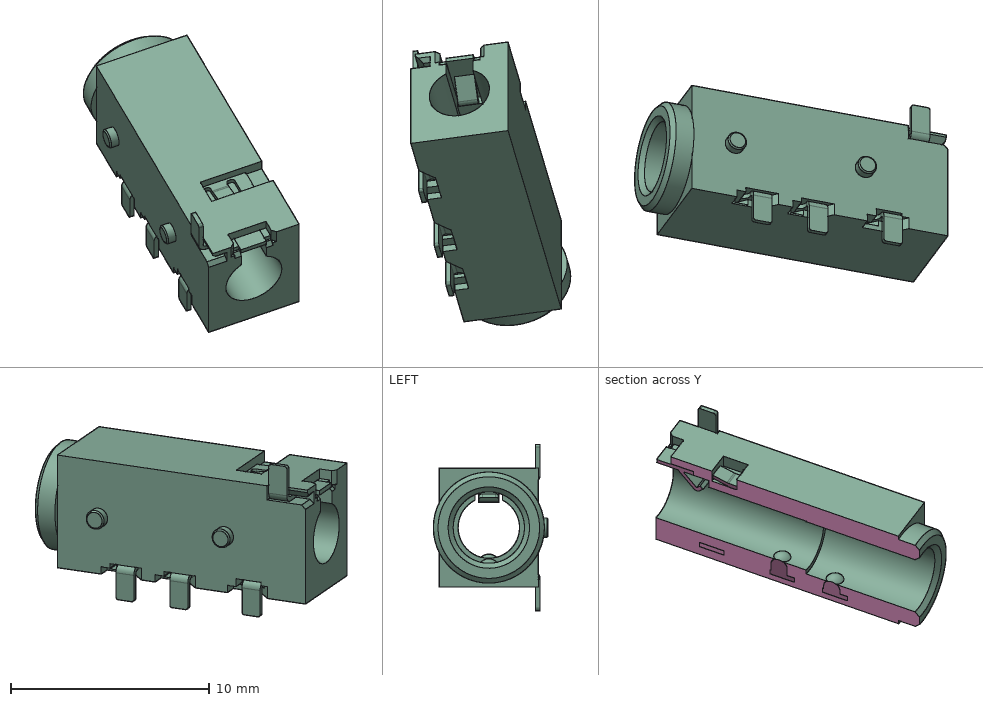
import cadquery as cq
import math

LENGTH = 15.0
COLLAR_LENGTH = 1.2
COLLAR_RADIUS = 2.8
COLLAR_CHAMFER = 0.24
CASE_WIDTH = 5.01
CASE_HEIGHT = 6.0
FRONT_Y = -CASE_WIDTH / 2
BACK_Y = CASE_WIDTH / 2
TOP_Z = CASE_HEIGHT / 2
BOTTOM_Z = -CASE_HEIGHT / 2

BORE_RADIUS = 1.8
MOUTH_CHAMFER = 0.25
REAR_BORE_RADIUS = 1.55
BORE_STEP_X = 6.45

PEG_POSITIONS = (3.5, 10.5)
PEG_RADIUS = 0.5
PEG_LENGTH = 0.5
PEG_CHAMFER = 0.08

SHEET = 0.24
LUG_WIDTH = 1.0
LUG_REACH = 4.2
LUG_OUTER_Y = -2.6
BEND_RADIUS = 0.4
LUG_CORNER = 0.14

LOWER_STRIP_Z = -2.37
LOWER_STRIP_END_Y = 0.6
SHOULDER_Y = -1.82
SHOULDER_WIDTH = 0.38
SHOULDER_FILLET = 0.35
DOME_RADIUS = 0.57
LOWER_TERMINALS = ((5.0, 0.0, -1.58), (8.0, 0.0, -1.34), (12.02, 0.18, None))

POCKET_DEPTH = 0.72
POCKET_LEFT = 0.85
POCKET_RIGHT = 1.38
HOLLOW_LEFT = 0.69
HOLLOW_DROP = 0.54

UPPER_LUG_X = 13.5
UPPER_FLOOR_Z = 2.25
UPPER_PLATE_TOP = UPPER_FLOOR_Z + SHEET
PLATE_FRONT_Y = -1.5
TAB_END_X = 14.95
TAB_WIDTH = 1.41
UPPER_SLOT_X = 12.87
PLATE_END_X = UPPER_LUG_X + LUG_WIDTH / 2
NOTCH_DEPTH = 0.22
LID_THICKNESS = 0.14
RECESS_X = 14.15
RECESS_HALF_WIDTH = 1.05
RECESS_FLOOR_END_X = 14.7
FLARE = 0.21

ARM_WIDTH = 1.02
ARM_VALLEY_X = 12.68
ARM_VALLEY_Z = 1.17
ARM_VALLEY_FILLET = 0.24
ARM_TIP_RISE = 0.36
ARM_TIP_CORNER = 0.18
ARM_SLOT_X = 12.0
ARM_SLOT_WIDTH = 1.38

WINDOW_X = 10.41
WINDOW_LENGTH = 1.4
WINDOW_FRONT_Y = -0.9
WINDOW_FLOOR_Z = 2.32
LEDGE_Z = 2.42
SPRING_TOP = WINDOW_FLOOR_Z + SHEET
SPRING_BACK_Y = 1.6
SPRING_SLOT_X = 10.55
SLOT_CORNER = 0.15
TONGUE_HALF_WIDTH = 0.45
TONGUE_ROOT_X = 10.86
TONGUE_BEND_LENGTH = 0.09
TONGUE_TIP_X = 11.76
TONGUE_CORNER = 0.09
TONGUE_ANGLE = 12.0
SLOT_EDGE_Y = 0.88


def block(x0, x1, y0, y1, z0, z1):
    """Box between two limits along each axis."""
    return cq.Workplane("XY").box(x1 - x0, y1 - y0, z1 - z0, centered=False).translate((x0, y0, z0))


def prism_along_y(points, y0, y1):
    """Outline in X and Z, extruded from y0 to y1."""
    return cq.Workplane("XZ", origin=(0, y0, 0)).polyline(points).close().extrude(y0 - y1)


def prism_along_z(points, z0, z1):
    """Outline in X and Y, extruded from z0 to z1."""
    return cq.Workplane("XY", origin=(0, 0, z0)).polyline(points).close().extrude(z1 - z0)


def bent_lug(center_x, strip_z, reach, direction, strip_end_y):
    """Horizontal strip that bends into a vertical lug.

    strip_z is the outer face of the bend; direction is +1 for a lug that points up and -1 for down.
    """
    inner_radius = BEND_RADIUS - SHEET
    diagonal = 1 - math.sqrt(0.5)
    inner_y = LUG_OUTER_Y + SHEET
    inner_z = strip_z + direction * SHEET
    bend_z = strip_z + direction * BEND_RADIUS
    bend_y = LUG_OUTER_Y + BEND_RADIUS
    outer_mid = (LUG_OUTER_Y + BEND_RADIUS * diagonal, strip_z + direction * BEND_RADIUS * diagonal)
    inner_mid = (inner_y + inner_radius * diagonal, inner_z + direction * inner_radius * diagonal)
    lug = (
        cq.Workplane("YZ", origin=(center_x - LUG_WIDTH / 2, 0, 0))
        .moveTo(strip_end_y, strip_z)
        .lineTo(bend_y, strip_z)
        .threePointArc(outer_mid, (LUG_OUTER_Y, bend_z))
        .lineTo(LUG_OUTER_Y, reach)
        .lineTo(inner_y, reach)
        .lineTo(inner_y, bend_z)
        .threePointArc(inner_mid, (bend_y, inner_z))
        .lineTo(strip_end_y, inner_z)
        .close()
        .extrude(LUG_WIDTH)
    )
    end_face = ">Z" if direction > 0 else "<Z"
    return lug.faces(end_face).edges("|Y").fillet(LUG_CORNER)


def lower_terminal(center_x, lift, dome_apex):
    """Lug below the housing, its strip inside, and the contact dome that enters the bore."""
    strip_z = LOWER_STRIP_Z + lift
    lug_left = center_x - LUG_WIDTH / 2
    terminal = bent_lug(center_x, strip_z, lift - LUG_REACH, -1, LOWER_STRIP_END_Y)
    shoulder = block(
        lug_left - SHOULDER_WIDTH, center_x, SHOULDER_Y, LOWER_STRIP_END_Y, strip_z - SHEET, strip_z
    )
    terminal = terminal.union(shoulder)
    inside_corner = cq.selectors.NearestToPointSelector((lug_left, SHOULDER_Y, strip_z - SHEET / 2))
    terminal = terminal.edges("|Z").edges(inside_corner).fillet(SHOULDER_FILLET)
    if dome_apex is not None:
        dome_center_z = dome_apex - DOME_RADIUS
        post_base_z = strip_z - SHEET
        post = (
            cq.Workplane("XY", origin=(center_x, 0, post_base_z))
            .circle(DOME_RADIUS)
            .extrude(dome_center_z - post_base_z)
        )
        dome = cq.Workplane("XY").sphere(DOME_RADIUS).translate((center_x, 0, dome_center_z))
        terminal = terminal.union(post).union(dome)
    return terminal


def lower_pocket(center_x, lift):
    """Opening in the lower front edge around one lower terminal."""
    strip_z = LOWER_STRIP_Z + lift
    lug_left = center_x - LUG_WIDTH / 2
    strip_left = lug_left - SHOULDER_WIDTH
    right = lug_left + POCKET_RIGHT
    back_y = FRONT_Y + POCKET_DEPTH
    flared_plan = [
        (strip_left, FRONT_Y),
        (right, FRONT_Y),
        (right - POCKET_DEPTH, back_y),
        (strip_left, back_y),
    ]
    pocket = prism_along_z(flared_plan, BOTTOM_Z, LOWER_STRIP_Z)
    left_step = block(lug_left - POCKET_LEFT, center_x, FRONT_Y, back_y, BOTTOM_Z, LOWER_STRIP_Z - SHEET)
    strip_relief = block(
        strip_left, lug_left + LUG_WIDTH, FRONT_Y, back_y, LOWER_STRIP_Z - SHEET, strip_z
    )
    hollow_left = lug_left - HOLLOW_LEFT
    hollow_plan = [
        (hollow_left, back_y),
        (lug_left, back_y),
        (hollow_left, back_y + HOLLOW_LEFT),
    ]
    hollow = prism_along_z(hollow_plan, strip_z - HOLLOW_DROP, strip_z - SHEET)
    return pocket.union(left_step).union(strip_relief).union(hollow)


def upper_terminal():
    """Plate at the rear with a lug that points up and a spring arm that dips into the bore."""
    lug = bent_lug(UPPER_LUG_X, UPPER_FLOOR_Z, LUG_REACH, 1, PLATE_FRONT_Y)
    plate = block(UPPER_SLOT_X, PLATE_END_X, PLATE_FRONT_Y, TAB_WIDTH / 2, UPPER_FLOOR_Z, UPPER_PLATE_TOP)
    tab = block(PLATE_END_X, TAB_END_X, -TAB_WIDTH / 2, TAB_WIDTH / 2, UPPER_FLOOR_Z, UPPER_PLATE_TOP)
    thickness_up = SHEET * math.sqrt(2)
    tip_offset = SHEET / math.sqrt(2)
    drop = UPPER_FLOOR_Z + SHEET / 2 - ARM_VALLEY_Z
    tip_x = ARM_VALLEY_X - ARM_TIP_RISE
    tip_z = ARM_VALLEY_Z + ARM_TIP_RISE
    arm_outline = [
        (ARM_VALLEY_X + drop, ARM_VALLEY_Z + drop),
        (ARM_VALLEY_X, ARM_VALLEY_Z),
        (tip_x, tip_z),
        (tip_x + tip_offset, tip_z + tip_offset),
        (ARM_VALLEY_X, ARM_VALLEY_Z + thickness_up),
        (ARM_VALLEY_X + drop - thickness_up, ARM_VALLEY_Z + drop),
    ]
    arm = prism_along_y(arm_outline, -ARM_WIDTH / 2, ARM_WIDTH / 2)
    arm = arm.edges("|Y and <Z").fillet(ARM_VALLEY_FILLET)
    arm = arm.faces("<(1, 0, -1)").edges("not |Y").fillet(ARM_TIP_CORNER)
    return lug.union(plate).union(tab).union(arm)


def upper_slot():
    """Slot, edge notch and flared rear recess for the upper terminal."""
    notch_y = FRONT_Y + NOTCH_DEPTH
    slope_top_z = TOP_Z - LID_THICKNESS
    slope_end_y = notch_y + slope_top_z - UPPER_PLATE_TOP
    section = [
        (FRONT_Y, TOP_Z),
        (notch_y, TOP_Z),
        (notch_y, slope_top_z),
        (slope_end_y, UPPER_PLATE_TOP),
        (PLATE_FRONT_Y, UPPER_PLATE_TOP),
        (PLATE_FRONT_Y, UPPER_FLOOR_Z),
        (FRONT_Y, UPPER_FLOOR_Z),
    ]
    notch = (
        cq.Workplane("YZ", origin=(UPPER_SLOT_X, 0, 0))
        .polyline(section)
        .close()
        .extrude(LENGTH - UPPER_SLOT_X)
    )
    half_tab = TAB_WIDTH / 2
    plate_slot = block(UPPER_SLOT_X, PLATE_END_X, PLATE_FRONT_Y, half_tab, UPPER_FLOOR_Z, UPPER_PLATE_TOP)
    tab_slot = block(PLATE_END_X, LENGTH, -half_tab, half_tab, UPPER_FLOOR_Z, UPPER_PLATE_TOP)
    recess = block(RECESS_X, LENGTH, -RECESS_HALF_WIDTH, RECESS_HALF_WIDTH, UPPER_PLATE_TOP, TOP_Z)
    floor_end = block(
        RECESS_FLOOR_END_X, LENGTH, -RECESS_HALF_WIDTH, RECESS_HALF_WIDTH, UPPER_FLOOR_Z, UPPER_PLATE_TOP
    )
    flare_x = LENGTH - FLARE
    flare_outline = [
        (flare_x, UPPER_FLOOR_Z),
        (LENGTH, UPPER_FLOOR_Z - FLARE),
        (LENGTH, UPPER_PLATE_TOP + FLARE),
        (flare_x, UPPER_PLATE_TOP),
    ]
    flared_notch = prism_along_y(flare_outline, FRONT_Y, PLATE_FRONT_Y)
    flared_floor = prism_along_y(flare_outline, -RECESS_HALF_WIDTH, RECESS_HALF_WIDTH)
    flared_recess = prism_along_z(
        [
            (flare_x, -RECESS_HALF_WIDTH),
            (LENGTH, -RECESS_HALF_WIDTH - FLARE),
            (LENGTH, RECESS_HALF_WIDTH + FLARE),
            (flare_x, RECESS_HALF_WIDTH),
        ],
        UPPER_FLOOR_Z,
        TOP_Z,
    )
    opening = notch
    for cut in (plate_slot, tab_slot, recess, floor_end, flared_notch, flared_floor, flared_recess):
        opening = opening.union(cut)
    return opening


def window_spring():
    """Plate in the top window with a raised tongue between two slots."""
    window_end = WINDOW_X + WINDOW_LENGTH
    plate = block(WINDOW_X, window_end, WINDOW_FRONT_Y, SPRING_BACK_Y, WINDOW_FLOOR_Z, SPRING_TOP)
    for slot_y0, slot_y1 in ((WINDOW_FRONT_Y, -TONGUE_HALF_WIDTH), (TONGUE_HALF_WIDTH, SLOT_EDGE_Y)):
        slot = block(SPRING_SLOT_X, window_end, slot_y0, slot_y1, WINDOW_FLOOR_Z, SPRING_TOP)
        plate = plate.cut(slot.edges("|Z and <X").fillet(SLOT_CORNER))
    flat_tongue = block(
        TONGUE_ROOT_X, window_end, -TONGUE_HALF_WIDTH, TONGUE_HALF_WIDTH, WINDOW_FLOOR_Z, SPRING_TOP
    )
    bend_x = TONGUE_ROOT_X + TONGUE_BEND_LENGTH
    bend_rise = TONGUE_BEND_LENGTH * math.tan(math.radians(TONGUE_ANGLE / 2))
    rise = bend_rise + (TONGUE_TIP_X - bend_x) * math.tan(math.radians(TONGUE_ANGLE))
    tongue = prism_along_y(
        [
            (TONGUE_ROOT_X, WINDOW_FLOOR_Z),
            (bend_x, WINDOW_FLOOR_Z + bend_rise),
            (TONGUE_TIP_X, WINDOW_FLOOR_Z + rise),
            (TONGUE_TIP_X, SPRING_TOP + rise),
            (bend_x, SPRING_TOP + bend_rise),
            (TONGUE_ROOT_X, SPRING_TOP),
        ],
        -TONGUE_HALF_WIDTH,
        TONGUE_HALF_WIDTH,
    )
    tongue = tongue.faces(">X").edges("|Z").fillet(TONGUE_CORNER)
    return plate.cut(flat_tongue).union(tongue)


def window():
    """Window in the top face, with a ledge that runs out to the back face."""
    window_end = WINDOW_X + WINDOW_LENGTH
    seat = block(WINDOW_X, window_end, WINDOW_FRONT_Y, SPRING_BACK_Y, WINDOW_FLOOR_Z, TOP_Z)
    ledge = block(WINDOW_X, window_end, SPRING_BACK_Y, BACK_Y, LEDGE_Z, TOP_Z)
    return seat.union(ledge)


def bore():
    """Stepped bore along X with a chamfered mouth."""
    return (
        cq.Workplane("XY")
        .polyline(
            [
                (0, 0),
                (0, BORE_RADIUS + MOUTH_CHAMFER),
                (MOUTH_CHAMFER, BORE_RADIUS),
                (BORE_STEP_X, BORE_RADIUS),
                (BORE_STEP_X, REAR_BORE_RADIUS),
                (LENGTH, REAR_BORE_RADIUS),
                (LENGTH, 0),
            ]
        )
        .close()
        .revolve(360, (0, 0, 0), (1, 0, 0))
    )


def housing_body(terminals):
    """Case with collar and pegs, hollowed out for the plug and for the terminals."""
    body = block(COLLAR_LENGTH, LENGTH, FRONT_Y, BACK_Y, BOTTOM_Z, TOP_Z)
    collar = cq.Workplane("YZ").circle(COLLAR_RADIUS).extrude(COLLAR_LENGTH)
    body = body.union(collar.faces("<X").chamfer(COLLAR_CHAMFER))
    for peg_x in PEG_POSITIONS:
        peg = cq.Workplane("XZ", origin=(peg_x, FRONT_Y, 0)).circle(PEG_RADIUS).extrude(PEG_LENGTH)
        body = body.union(peg.faces("<Y").chamfer(PEG_CHAMFER))
    arm_slot = block(ARM_SLOT_X, LENGTH, -ARM_SLOT_WIDTH / 2, ARM_SLOT_WIDTH / 2, 0, UPPER_FLOOR_Z)
    keyway = block(BORE_STEP_X, LENGTH, -ARM_SLOT_WIDTH / 2, ARM_SLOT_WIDTH / 2, 0, BORE_RADIUS)
    body = body.cut(bore()).cut(keyway).cut(arm_slot).cut(upper_slot()).cut(window())
    for center_x, lift, _ in LOWER_TERMINALS:
        body = body.cut(lower_pocket(center_x, lift))
    for terminal in terminals:
        body = body.cut(terminal)
    return body


lower_terminals = [lower_terminal(*values) for values in LOWER_TERMINALS]
rear_terminal = upper_terminal()
spring = window_spring()
housing = housing_body(lower_terminals + [rear_terminal])

result = cq.Compound.makeCompound(
    [
        housing.val(),
        *[terminal.val() for terminal in lower_terminals],
        rear_terminal.val(),
        spring.val(),
    ]
)